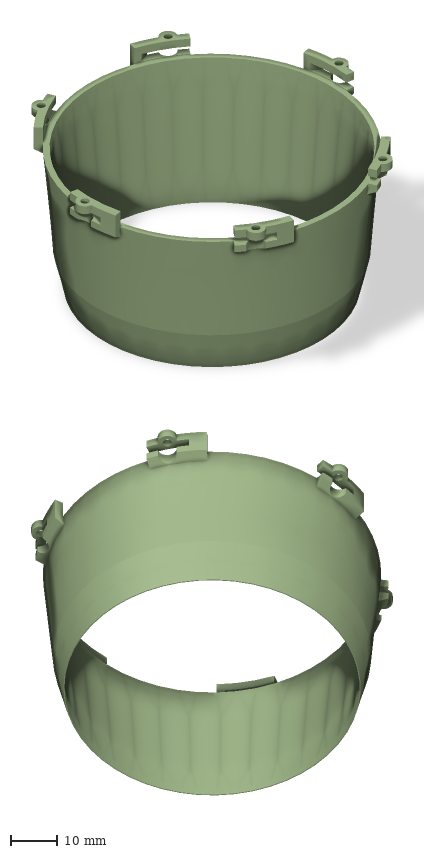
import cadquery as cq
import math

rim_height = 35.5
rim_outer_radius = 36.5
rim_inner_radius = 35.1
lead_in_height = 9.75
lead_in_radius = 34.3
bottom_outer_radius = 32.1
bottom_inner_radius = 31.85

clip_count = 6
clip_pitch = 360 / clip_count
clip_direction = -90.0
clip_start_angle = -11.0
clip_end_angle = 9.0
clip_inner_radius = rim_outer_radius
clip_outer_radius = 38.5

total_height = 39.6
upper_bar_height = 2.0
upper_bar_bottom = total_height - upper_bar_height
lower_bar_top = 35.6
lower_bar_edge_bottom = 33.9
lower_bar_root_bottom = 32.9
root_overlap = 0.65

post_outer_offset = 2.0
post_inner_offset = 4.0

boss_angle = -4.0
boss_radius_from_axis = 38.3
boss_diameter = 4.2
screw_hole_diameter = 2.0
recess_radius_from_axis = 38.7
recess_diameter = boss_diameter


def polar(radius, angle):
    """Point at a radius and an angle in degrees from the +X axis."""
    return (radius * math.cos(math.radians(angle)), radius * math.sin(math.radians(angle)))


def make_shell():
    return (
        cq.Workplane("XZ")
        .moveTo(bottom_inner_radius, 0)
        .lineTo(bottom_outer_radius, 0)
        .lineTo(lead_in_radius, lead_in_height)
        .lineTo(rim_outer_radius, rim_height)
        .lineTo(rim_inner_radius, rim_height)
        .close()
        .revolve(360, (0, 0, 0), (0, 1, 0))
    )


def sweep_clip_profile(points):
    """Turn a radius-height outline about Z through the clip's angular span."""
    span = clip_end_angle - clip_start_angle
    solid = cq.Workplane("XZ").polyline(points).close().revolve(span, (0, 0, 0), (0, 1, 0))
    return solid.rotate((0, 0, 0), (0, 0, 1), clip_start_angle)


def bar_section(inner_radius, outer_radius, bottom, top):
    return [(inner_radius, bottom), (outer_radius, bottom), (outer_radius, top), (inner_radius, top)]


def make_lower_bar():
    root_radius = clip_inner_radius - root_overlap
    slope = (lower_bar_edge_bottom - lower_bar_root_bottom) / (clip_outer_radius - clip_inner_radius)
    sunk_bottom = lower_bar_root_bottom - slope * root_overlap
    return sweep_clip_profile([
        (root_radius, sunk_bottom),
        (clip_outer_radius, lower_bar_edge_bottom),
        (clip_outer_radius, lower_bar_top),
        (clip_inner_radius, lower_bar_top),
        (clip_inner_radius, rim_height),
        (root_radius, rim_height),
    ])


def make_post():
    """End post whose face toward the gap slants, wider at the outer side."""
    ring = sweep_clip_profile(
        bar_section(clip_inner_radius, clip_outer_radius, lower_bar_top, upper_bar_bottom)
    )
    beyond_end = clip_outer_radius * math.sin(math.radians(2 * clip_end_angle))
    keep = (
        cq.Workplane("XY", origin=(0, 0, lower_bar_top))
        .polyline([
            (clip_inner_radius, post_inner_offset),
            (clip_outer_radius, post_outer_offset),
            (clip_outer_radius, beyond_end),
            (rim_inner_radius, beyond_end),
            (rim_inner_radius, post_inner_offset),
        ])
        .close()
        .extrude(upper_bar_bottom - lower_bar_top)
    )
    return ring.intersect(keep)


def screw_cylinder(diameter, radius_from_axis, bottom, top):
    """Upright cylinder at the clip's screw position."""
    x, y = polar(radius_from_axis, boss_angle)
    return cq.Workplane("XY", origin=(x, y, bottom)).circle(diameter / 2).extrude(top - bottom)


def make_clip():
    """Clip centred on the +X direction."""
    upper_bar = sweep_clip_profile(
        bar_section(clip_inner_radius, clip_outer_radius, upper_bar_bottom, total_height)
    )
    boss = screw_cylinder(boss_diameter, boss_radius_from_axis, upper_bar_bottom, total_height)
    inside_of_clip = cq.Workplane("XY").circle(clip_inner_radius).extrude(total_height)
    boss = boss.cut(inside_of_clip)
    recess = screw_cylinder(recess_diameter, recess_radius_from_axis, 0, lower_bar_top)
    screw_hole = screw_cylinder(screw_hole_diameter, boss_radius_from_axis, upper_bar_bottom, total_height)
    lower_bar = make_lower_bar().cut(recess)
    return lower_bar.union(make_post()).union(upper_bar).union(boss).cut(screw_hole)


result = make_shell()
clip = make_clip()
for index in range(clip_count):
    result = result.union(clip.rotate((0, 0, 0), (0, 0, 1), clip_direction + index * clip_pitch))